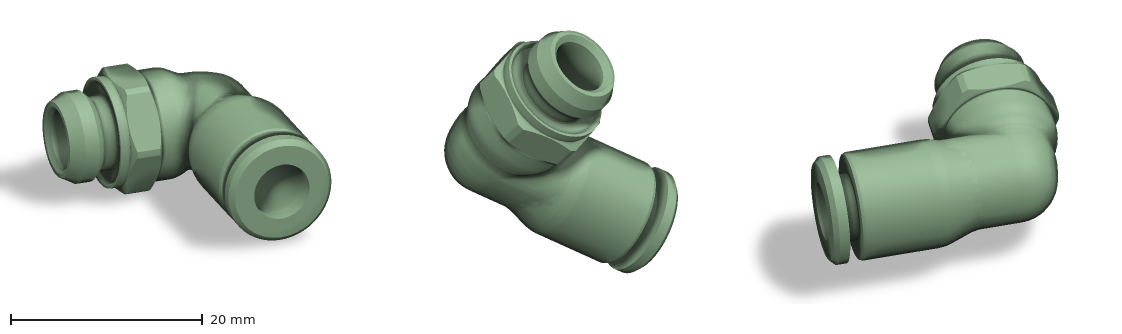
import cadquery as cq
import math


overall_length = 27.35

hex_flats = 12.0
hex_corner_radius = 6.73
hex_top = -7.77
hex_bottom = -11.3
hex_chamfer_height = 0.46
hex_chamfer_angle = math.radians(30)

collar_radius = 11.8 / 2
collar_top = -5.75
collar_chamfer = 0.3
collar_chamfer_depth = 0.15
shoulder_top = -2.25
flange_bottom = -12.33
flange_recess_depth = 0.4
flange_recess_mouth_radius = 5.6
flange_recess_floor_radius = 5.3
undercut_radius = 7.9 / 2
undercut_root_chamfer = 0.15
undercut_bottom = -13.37
thread_radius = 9.7 / 2
thread_top = -14.3
thread_bottom = -15.85
stem_tip_radius = 4.05
stem_tip = -17.3

elbow_radius = thread_radius
dome_radius = 4.5
dome_tangent_height = 1.1
taper_bottom = 0.1
dome_base = -1.85
arm_corner_start = -1.42
flare_fillet = 2.45
crotch_fillet = 0.68
pick_margin = 0.03

socket_radius = 11.5 / 2
flare_angle = math.radians(19.6)
flare_cone_end = 7.8
socket_start = 9.13
flare_cone_end_radius = socket_radius - (socket_start - flare_cone_end) * math.tan(flare_angle / 2)
flare_start = flare_cone_end - (flare_cone_end_radius - dome_radius) / math.tan(flare_angle)
socket_end = 17.53
socket_chamfer = 0.33
socket_chamfer_depth = 0.15

ring_end = overall_length - hex_corner_radius
ring_start = 18.98
ring_chamfer = 0.55
ring_neck_radius = 7.1 / 2
ring_neck_flare = 0.27

stem_bore_radius = 5.5 / 2
stem_counterbore_radius = 6.0 / 2
stem_counterbore_floor = hex_bottom
stem_counterbore_taper = 0.27
stem_mouth_radius = 7.1 / 2
stem_mouth_depth = 0.55
tube_bore_radius = 6.15 / 2


def dome_side(outline, base):
    """Continue an outline from the dome's apex down one side to the given base height."""
    lean = math.asin(dome_tangent_height / dome_radius)
    arc_middle_angle = (math.pi / 2 + lean) / 2
    tangent_offset = dome_radius * math.cos(lean)
    taper_radius = tangent_offset + (dome_tangent_height - taper_bottom) * math.tan(lean)
    arc_middle = (
        dome_radius * math.cos(arc_middle_angle),
        dome_radius * math.sin(arc_middle_angle),
    )
    return (
        outline.threePointArc(arc_middle, (tangent_offset, dome_tangent_height))
        .lineTo(taper_radius, taper_bottom)
        .tangentArcPoint((elbow_radius, base), relative=False)
    )


def stem():
    """Dome, shoulder, collar, flange and thread as one body turned about Y."""
    shoulder_middle = ((elbow_radius + collar_radius) / 2, (shoulder_top + collar_top) / 2)
    recess_floor = flange_bottom + flange_recess_depth
    outline = (
        dome_side(cq.Workplane("XY").moveTo(0, dome_radius), dome_base)
        .lineTo(elbow_radius, shoulder_top)
        .tangentArcPoint(shoulder_middle, relative=False)
        .tangentArcPoint((collar_radius, collar_top), relative=False)
        .lineTo(collar_radius, hex_top + collar_chamfer)
        .lineTo(collar_radius - collar_chamfer_depth, hex_top)
        .lineTo(collar_radius - collar_chamfer_depth, hex_bottom)
        .lineTo(collar_radius, hex_bottom)
        .lineTo(collar_radius, flange_bottom)
        .lineTo(flange_recess_mouth_radius, flange_bottom)
        .lineTo(flange_recess_floor_radius, recess_floor)
        .lineTo(undercut_radius + undercut_root_chamfer, recess_floor)
        .lineTo(undercut_radius, recess_floor - undercut_root_chamfer)
        .lineTo(undercut_radius, undercut_bottom)
        .lineTo(thread_radius, thread_top)
        .lineTo(thread_radius, thread_bottom)
        .lineTo(stem_tip_radius, stem_tip)
        .lineTo(0, stem_tip)
        .close()
    )
    return outline.revolve(360, (0, 0, 0), (0, 1, 0))


def hexagon():
    """Hexagon with a corner on X, trimmed by a turned blank with 30 degree chamfers."""
    height = hex_top - hex_bottom
    across_corners = hex_flats / math.cos(math.pi / 6)
    face_radius = hex_corner_radius - hex_chamfer_height / math.tan(hex_chamfer_angle)
    prism = (
        cq.Workplane("XZ", origin=(0, hex_top, 0))
        .polygon(6, across_corners)
        .extrude(height)
    )
    blank = (
        cq.Workplane("XY")
        .moveTo(0, hex_top)
        .lineTo(face_radius, hex_top)
        .lineTo(hex_corner_radius, hex_top - hex_chamfer_height)
        .lineTo(hex_corner_radius, hex_bottom + hex_chamfer_height)
        .lineTo(face_radius, hex_bottom)
        .lineTo(0, hex_bottom)
        .close()
        .revolve(360, (0, 0, 0), (0, 1, 0))
    )
    return prism.intersect(blank)


def elbow_arm():
    """Arm along X with the dome's section above and rounded corners below."""
    corner = arm_corner_start + dome_radius
    corner_middle = (
        elbow_radius - corner * (1 - math.sqrt(0.5)),
        arm_corner_start - corner * math.sqrt(0.5),
    )
    half = (
        dome_side(cq.Workplane("XY").moveTo(0, dome_radius), arm_corner_start)
        .threePointArc(corner_middle, (elbow_radius - corner, -dome_radius))
        .lineTo(0, -dome_radius)
        .close()
        .extrude(socket_start)
        .rotate((0, 0, 0), (0, 1, 0), 90)
    )
    return half.union(half.mirror("XY"))


def socket():
    """Flare, socket and release ring as one body turned about X."""
    outline = (
        cq.Workplane("XY")
        .lineTo(0, dome_radius)
        .lineTo(flare_start, dome_radius)
        .lineTo(flare_cone_end, flare_cone_end_radius)
        .tangentArcPoint((socket_start, socket_radius), relative=False)
        .lineTo(socket_end - socket_chamfer, socket_radius)
        .lineTo(socket_end, socket_radius - socket_chamfer_depth)
        .lineTo(socket_end, ring_neck_radius)
        .lineTo(ring_start - ring_neck_flare, ring_neck_radius)
        .lineTo(ring_start, ring_neck_radius + ring_neck_flare)
        .lineTo(ring_start, socket_radius)
        .lineTo(ring_end - ring_chamfer, socket_radius)
        .lineTo(ring_end, socket_radius - ring_chamfer)
        .lineTo(ring_end, 0)
        .close()
    )
    return outline.revolve(360, (0, 0, 0), (1, 0, 0))


def stem_bore():
    """Passage from the stem tip to the tube bore, with a countersunk mouth."""
    outline = (
        cq.Workplane("XY")
        .lineTo(stem_bore_radius, 0)
        .lineTo(stem_bore_radius, stem_counterbore_floor + stem_counterbore_taper)
        .lineTo(stem_counterbore_radius, stem_counterbore_floor)
        .lineTo(stem_counterbore_radius, stem_tip + stem_mouth_depth)
        .lineTo(stem_mouth_radius, stem_tip)
        .lineTo(0, stem_tip)
        .close()
    )
    return outline.revolve(360, (0, 0, 0), (0, 1, 0))


def tube_bore():
    """Bore along X, reaching the far side of the stem bore."""
    return (
        cq.Workplane("YZ", origin=(-stem_bore_radius, 0, 0))
        .circle(tube_bore_radius)
        .extrude(ring_end + stem_bore_radius)
    )


def blended_arm():
    """Arm and socket with the crease where the arm runs into the flare cone rounded."""
    sharp = elbow_arm().union(socket())
    creases = cq.selectors.BoxSelector(
        (flare_start - pick_margin, -socket_radius, -socket_radius),
        (flare_cone_end - pick_margin, socket_radius, socket_radius),
        boundingbox=True,
    )
    return sharp.edges(creases).fillet(flare_fillet)


def outer_body():
    """Stem and arm joined, with the crease where the arm leaves the shoulder rounded."""
    joined = stem().union(blended_arm())
    creases = cq.selectors.BoxSelector(
        (pick_margin, collar_top, -collar_radius),
        (collar_radius, shoulder_top + pick_margin, collar_radius),
        boundingbox=True,
    )
    return joined.edges(creases).fillet(crotch_fillet).union(hexagon())


result = outer_body().cut(stem_bore()).cut(tube_bore())